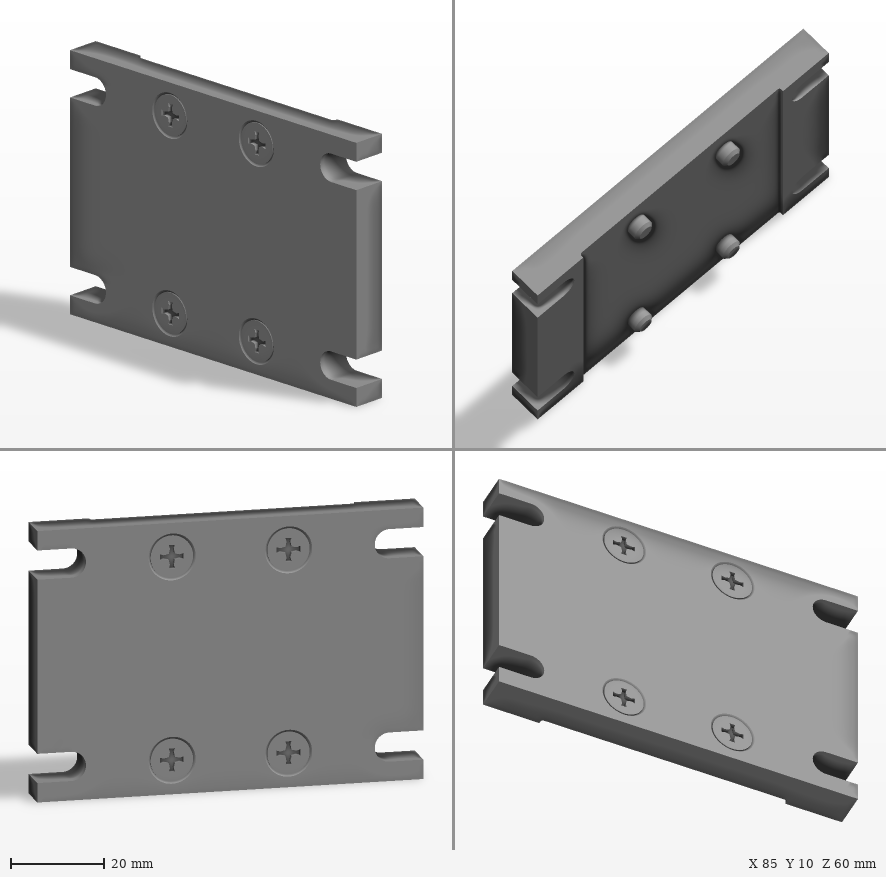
import cadquery as cq
import math

LENGTH = 85.0
HEIGHT = 60.0
THICKNESS = 8.0

SLOT_WIDTH = 6.5
SLOT_DEPTH = 10.7

CHANNEL_WIDTH = 58.3
CHANNEL_DEPTH = 1.1
CHANNEL_FILLET = 0.5

ROW_SPACING = 45.0
SCREW_SPACING = 25.7

OVERALL_DEPTH = 10.0
SHANK_DIAMETER = 5.0
HEAD_DIAMETER = 9.35
TIP_CHAMFER = 0.8

COUNTERSINK_DIAMETER = 10.4
COUNTERSINK_DEPTH = (COUNTERSINK_DIAMETER - SHANK_DIAMETER) / 2
HEAD_SEAT_DEPTH = (COUNTERSINK_DIAMETER - HEAD_DIAMETER) / 2
HEAD_RECESS = 0.2

CROSS_SPAN = 5.2
CROSS_TIP_WIDTH = 1.4
CROSS_NECK_WIDTH = 0.85
CROSS_NECK_RADIUS = 1.8
CROSS_CORE_CORNER = 0.7
CROSS_DEPTH = 1.0

ROWS = (-ROW_SPACING / 2, ROW_SPACING / 2)
COLUMNS = (-SCREW_SPACING / 2, SCREW_SPACING / 2)
SCREW_POSITIONS = [(x, z) for x in COLUMNS for z in ROWS]


def revolve_about_y(profile):
    """Turn a closed (radius, y) outline about the Y axis."""
    return cq.Workplane("XY").polyline(profile).close().revolve(360, (0, 0), (0, 1))


def make_slot_cutter(side, z):
    """Round-ended slot that opens through the end of the plate on the given side."""
    return (
        cq.Workplane("XZ", origin=(side * LENGTH / 2, 0, z))
        .slot2D(2 * SLOT_DEPTH, SLOT_WIDTH)
        .extrude(-THICKNESS)
    )


def make_channel_cutter():
    """Channel along Z in the back face, with rounded floor corners."""
    return (
        cq.Workplane("XY")
        .box(CHANNEL_WIDTH, CHANNEL_DEPTH, HEIGHT)
        .edges("|Z and <Y")
        .fillet(CHANNEL_FILLET)
        .translate((0, THICKNESS - CHANNEL_DEPTH / 2, 0))
    )


def make_screw_hole_cutter():
    """Through hole with a countersink that opens at the front face, y = 0."""
    hole_radius = SHANK_DIAMETER / 2
    return revolve_about_y([
        (0, 0),
        (COUNTERSINK_DIAMETER / 2, 0),
        (hole_radius, COUNTERSINK_DEPTH),
        (hole_radius, THICKNESS),
        (0, THICKNESS),
    ])


def make_plate():
    plate = cq.Workplane("XY").box(LENGTH, THICKNESS, HEIGHT).translate((0, THICKNESS / 2, 0))
    plate = plate.cut(make_channel_cutter())
    for side in (-1, 1):
        for z in ROWS:
            plate = plate.cut(make_slot_cutter(side, z))
    for x, z in SCREW_POSITIONS:
        plate = plate.cut(make_screw_hole_cutter().translate((x, 0, z)))
    return plate


def make_cross_cutter():
    """Four-armed driver recess whose arms narrow at a neck and flare into the core."""
    arm = [
        (CROSS_CORE_CORNER, -CROSS_CORE_CORNER),
        (CROSS_NECK_RADIUS, -CROSS_NECK_WIDTH / 2),
        (CROSS_SPAN / 2, -CROSS_TIP_WIDTH / 2),
        (CROSS_SPAN / 2, CROSS_TIP_WIDTH / 2),
        (CROSS_NECK_RADIUS, CROSS_NECK_WIDTH / 2),
    ]
    outline = []
    for quarter in range(4):
        cosine = math.cos(quarter * math.pi / 2)
        sine = math.sin(quarter * math.pi / 2)
        outline += [(cosine * u - sine * v, sine * u + cosine * v) for u, v in arm]
    return (
        cq.Workplane("XZ", origin=(0, HEAD_RECESS, 0))
        .polyline(outline)
        .close()
        .extrude(-CROSS_DEPTH)
    )


def make_screw(x, z):
    """Countersunk screw along Y, its head seated in the countersink and its tip past the back."""
    shank_radius = SHANK_DIAMETER / 2
    body = revolve_about_y([
        (0, HEAD_RECESS),
        (HEAD_DIAMETER / 2, HEAD_RECESS),
        (HEAD_DIAMETER / 2, HEAD_SEAT_DEPTH),
        (shank_radius, COUNTERSINK_DEPTH),
        (shank_radius, OVERALL_DEPTH - TIP_CHAMFER),
        (shank_radius - TIP_CHAMFER, OVERALL_DEPTH),
        (0, OVERALL_DEPTH),
    ])
    return body.cut(make_cross_cutter()).translate((x, 0, z))


plate = make_plate()
screws = [make_screw(x, z) for x, z in SCREW_POSITIONS]

result = cq.Compound.makeCompound([plate.val(), *[screw.val() for screw in screws]])